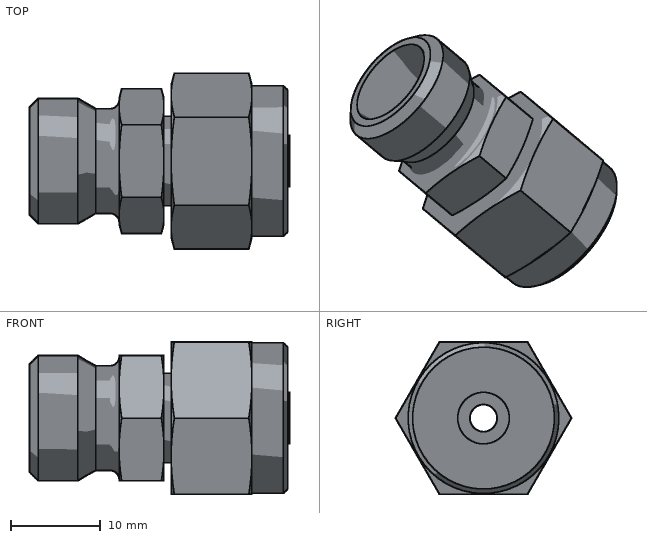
import cadquery as cq
import math


thread_diameter = 14.0
thread_chamfer = 1.0
thread_end_x = 5.4
relief_diameter = 11.7
relief_angle = 30.0
root_fillet = 1.0

body_hex_start_x = 10.0
body_hex_length = 5.0
body_hex_flats = 14.0

neck_diameter = 10.0
neck_length = 0.8

nut_hex_length = 9.0
nut_hex_flats = 17.0
collar_diameter = 16.8
collar_length = 4.0
collar_chamfer = 0.5

end_boss_diameter = 5.75
total_length = 29.0

hex_corner_angle = 15.0

mouth_diameter = 10.1
mouth_half_angle = 12.0
socket_diameter = 8.0
socket_depth = 7.0
counterbore_diameter = 6.0
counterbore_depth = 10.0
drill_half_angle = 60.0
through_diameter = 3.0

body_hex_end_x = body_hex_start_x + body_hex_length
nut_hex_start_x = body_hex_end_x + neck_length
nut_hex_end_x = nut_hex_start_x + nut_hex_length
collar_end_x = nut_hex_end_x + collar_length


def taper_length(large_diameter, small_diameter, half_angle):
    """Axial length of a cone between two diameters."""
    return (large_diameter - small_diameter) / 2 / math.tan(math.radians(half_angle))


def cylinder(diameter, start_x, end_x):
    """Round bar on the X axis."""
    return cq.Workplane("YZ", origin=(start_x, 0, 0)).circle(diameter / 2).extrude(end_x - start_x)


def revolve_about_x(profile):
    """Solid of revolution from a closed profile in the XY plane."""
    return profile.close().revolve(360, (0, 0, 0), (1, 0, 0))


def chamfered_hexagon(flats, start_x, length):
    """Hexagon with flats facing +Z and -Z and its corners turned down at both ends."""
    corner_diameter = flats / math.cos(math.radians(30))
    corner_drop = (corner_diameter - flats) / 2 * math.tan(math.radians(hex_corner_angle))
    end_x = start_x + length
    hexagon = cq.Workplane("YZ", origin=(start_x, 0, 0)).polygon(6, corner_diameter).extrude(length)
    envelope = revolve_about_x(
        cq.Workplane("XY")
        .moveTo(start_x, 0)
        .lineTo(start_x, flats / 2)
        .lineTo(start_x + corner_drop, corner_diameter / 2)
        .lineTo(end_x - corner_drop, corner_diameter / 2)
        .lineTo(end_x, flats / 2)
        .lineTo(end_x, 0)
    )
    return hexagon.intersect(envelope)


def threaded_end():
    """Thread as a plain cylinder, tapered run-out, relief and the fillet into the body hexagon."""
    thread_radius = thread_diameter / 2
    relief_radius = relief_diameter / 2
    relief_start_x = thread_end_x + taper_length(thread_diameter, relief_diameter, relief_angle)
    fillet_start_x = body_hex_start_x - root_fillet
    fillet_mid_x = fillet_start_x + root_fillet * math.sin(math.radians(45))
    fillet_mid_radius = relief_radius + root_fillet * (1 - math.cos(math.radians(45)))
    return revolve_about_x(
        cq.Workplane("XY")
        .moveTo(0, 0)
        .lineTo(0, thread_radius - thread_chamfer)
        .lineTo(thread_chamfer, thread_radius)
        .lineTo(thread_end_x, thread_radius)
        .lineTo(relief_start_x, relief_radius)
        .lineTo(fillet_start_x, relief_radius)
        .threePointArc((fillet_mid_x, fillet_mid_radius), (body_hex_start_x, relief_radius + root_fillet))
        .lineTo(body_hex_start_x, 0)
    )


def nut():
    """Nut hexagon, chamfered collar and the low boss on the end face."""
    hexagon = chamfered_hexagon(nut_hex_flats, nut_hex_start_x, nut_hex_length)
    collar = cylinder(collar_diameter, nut_hex_end_x, collar_end_x)
    collar = collar.faces(">X").chamfer(collar_chamfer)
    end_boss = cylinder(end_boss_diameter, collar_end_x, total_length)
    return hexagon.union(collar).union(end_boss)


def bore():
    """Conical mouth, tube socket, counterbore with a drill-point floor, and the through hole."""
    mouth_depth = taper_length(mouth_diameter, socket_diameter, mouth_half_angle)
    drill_tip_x = counterbore_depth + taper_length(counterbore_diameter, through_diameter, drill_half_angle)
    return revolve_about_x(
        cq.Workplane("XY")
        .moveTo(0, 0)
        .lineTo(0, mouth_diameter / 2)
        .lineTo(mouth_depth, socket_diameter / 2)
        .lineTo(socket_depth, socket_diameter / 2)
        .lineTo(socket_depth, counterbore_diameter / 2)
        .lineTo(counterbore_depth, counterbore_diameter / 2)
        .lineTo(drill_tip_x, through_diameter / 2)
        .lineTo(total_length, through_diameter / 2)
        .lineTo(total_length, 0)
    )


body_hexagon = chamfered_hexagon(body_hex_flats, body_hex_start_x, body_hex_length)
neck = cylinder(neck_diameter, body_hex_end_x, nut_hex_start_x)

result = threaded_end().union(body_hexagon).union(neck).union(nut()).cut(bore())